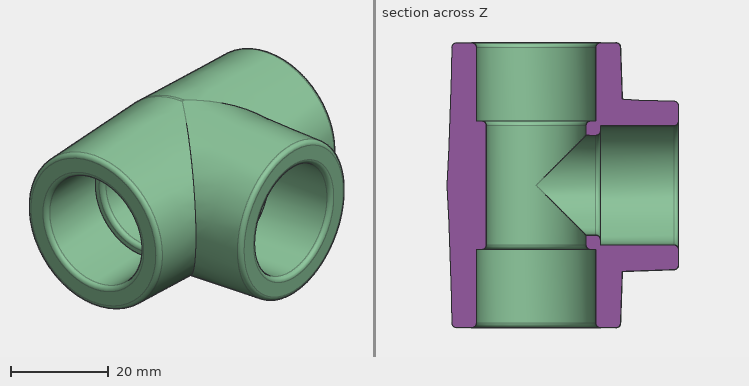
import cadquery as cq
import math

arm_length = 29.2
centre_radius = 18.3
draft_angle = math.radians(2.0)
crown_half_width = 0.35
rim_round = 1.0
bore_diameter = 20.4
socket_diameter = 24.4
socket_depth = 16.0

crown_round = crown_half_width / math.sin(draft_angle)
crown_edge_radius = centre_radius - crown_round * (1 - math.cos(draft_angle))
end_radius = crown_edge_radius - (arm_length - crown_half_width) * math.tan(draft_angle)


def outer_body():
    """Solid barrel along Y: two tapers meeting in a rounded crown at the centre."""
    profile = (
        cq.Workplane("XY")
        .moveTo(0, -arm_length)
        .lineTo(end_radius, -arm_length)
        .lineTo(crown_edge_radius, -crown_half_width)
        .threePointArc((centre_radius, 0), (crown_edge_radius, crown_half_width))
        .lineTo(end_radius, arm_length)
        .lineTo(0, arm_length)
        .close()
    )
    return profile.revolve(360, (0, 0, 0), (0, 1, 0))


def straight_pipe():
    """Barrel along Y with a through bore, a socket in each end and rounded edges."""
    pipe = outer_body().faces(">Y").workplane().hole(bore_diameter)
    for end_face in (">Y", "<Y"):
        pipe = pipe.faces(end_face).workplane().hole(socket_diameter, socket_depth)
    smallest_edges = cq.selectors.RadiusNthSelector(0)
    pipe = pipe.faces("|Y").edges(smallest_edges).fillet(rim_round)
    return pipe.faces("<Y or >Y").edges().fillet(rim_round)


def mitre_wedge():
    """Prism around +X, bounded by the two 45 degree mitre planes through the Z axis."""
    reach = 2 * arm_length
    wedge = cq.Workplane("XY").polyline([(0, 0), (reach, -reach), (reach, reach)]).close()
    return wedge.extrude(arm_length, both=True)


run = straight_pipe().cut(mitre_wedge())
branch = straight_pipe().rotate((0, 0, 0), (0, 0, 1), -90).intersect(mitre_wedge())
result = run.union(branch)